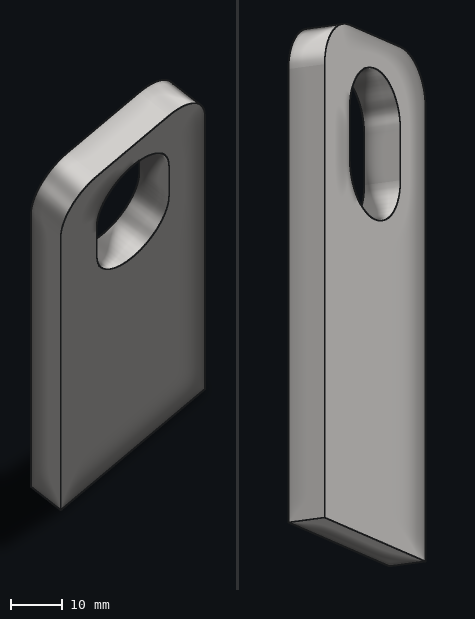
import cadquery as cq

thickness = 8.0
width = 40.0
height = 100.0
corner_radius = 10.0

slot_width = 20.0
slot_length = 30.0
slot_top_margin = 6.5
slot_center_z = height - slot_top_margin - slot_length / 2


def make_plate():
    """Upright plate with its two top corners rounded."""
    plate = cq.Workplane("XY").box(thickness, width, height, centered=(True, True, False))
    return plate.edges("|X and >Z").fillet(corner_radius)


def make_slot_cutter():
    """Obround prism through the full plate thickness."""
    return (
        cq.Workplane("YZ")
        .center(0, slot_center_z)
        .slot2D(slot_length, slot_width, angle=90)
        .extrude(thickness / 2, both=True)
    )


result = make_plate().cut(make_slot_cutter())